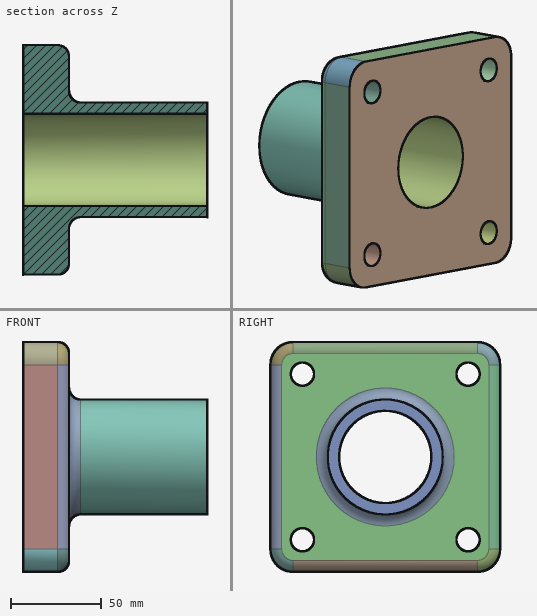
import cadquery as cq

flange_side = 127.0
flange_thickness = 25.4
corner_radius = 12.7
total_length = 101.6
tube_diameter = 63.5
bore_diameter = 50.8
bolt_hole_diameter = 12.7
bolt_spacing = 91.5
edge_round = 6.4
root_fillet = 6.4


def make_flange():
    """Square plate with rounded corners and a rounded rim on the tube side."""
    plate = cq.Workplane("YZ").rect(flange_side, flange_side).extrude(flange_thickness)
    plate = plate.edges("|X").fillet(corner_radius)
    return plate.faces(">X").edges().fillet(edge_round)


def add_tube(body):
    """Solid round tube blank, blended into the flange by a root fillet."""
    tube = cq.Workplane("YZ").circle(tube_diameter / 2).extrude(total_length)
    joined = body.union(tube)
    shoulder = joined.faces("|X").faces(">X[-2]")
    return shoulder.edges(cq.selectors.RadiusNthSelector(-1)).fillet(root_fillet)


def cut_holes(body):
    """Central bore through the full length and four bolt holes through the flange."""
    bore = cq.Workplane("YZ").circle(bore_diameter / 2).extrude(total_length)
    bolt_holes = (
        cq.Workplane("YZ")
        .rect(bolt_spacing, bolt_spacing, forConstruction=True)
        .vertices()
        .circle(bolt_hole_diameter / 2)
        .extrude(flange_thickness)
    )
    return body.cut(bore).cut(bolt_holes)


result = cut_holes(add_tube(make_flange()))